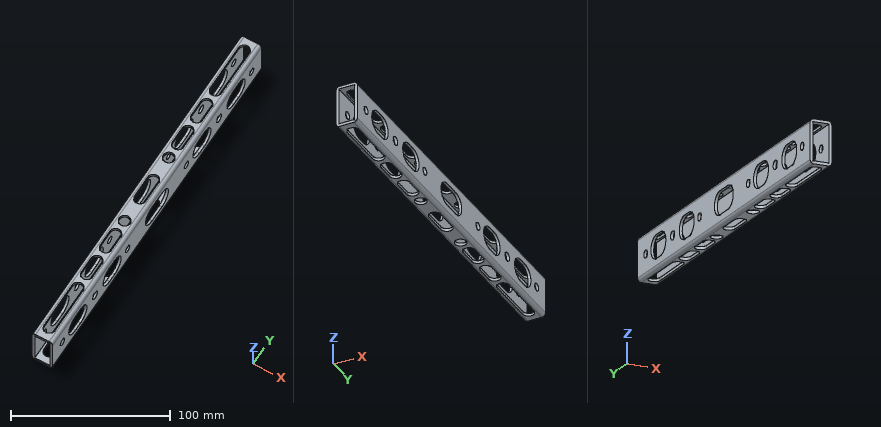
import cadquery as cq

LENGTH = 256.0
WIDTH = 15.0
HEIGHT = 30.0
WALL = 2.0
CORNER_RADIUS = 2.5

TOP_OPENING_WIDTH = 8.0
TOP_CENTRE_SLOT_LENGTH = 24.0
TOP_SHORT_SLOT_LENGTH = 19.7
TOP_LONG_SLOT_LENGTH = 42.5
TOP_HOLE_Y = 27.1
TOP_SHORT_SLOT_YS = (44.3, 67.3)
TOP_LONG_SLOT_Y = 102.0

SIDE_SLOT_HEIGHT = 16.0
SIDE_CENTRE_SLOT_LENGTH = 28.0
SIDE_SLOT_LENGTH = 22.0
SIDE_SLOT_YS = (55.0, 97.0)
SMALL_HOLE_DIAMETER = 5.0
LARGE_HOLE_DIAMETER = 6.0
HOLE_PITCH = 40.0
LARGE_HOLE_Y = 76.0
SMALL_HOLE_YS = (LARGE_HOLE_Y - HOLE_PITCH, LARGE_HOLE_Y + HOLE_PITCH)


def mirrored(positions):
    """Points at each position along Y and at its mirror image."""
    return [(0, side * y) for y in positions for side in (-1, 1)]


def tube():
    """Tube with rounded outer corners and a sharp-cornered bore."""
    outer = cq.Workplane("XY").box(WIDTH, LENGTH, HEIGHT).edges("|Y").fillet(CORNER_RADIUS)
    bore = cq.Workplane("XY").box(WIDTH - 2 * WALL, LENGTH, HEIGHT - 2 * WALL)
    return outer.cut(bore)


def top_cutters():
    """Vertical cutters that pass through the top and bottom walls."""

    def slots(length, points):
        sketch = cq.Workplane("XY").pushPoints(points)
        return sketch.slot2D(length, TOP_OPENING_WIDTH, 90).extrude(HEIGHT, both=True)

    holes = cq.Workplane("XY").pushPoints(mirrored([TOP_HOLE_Y]))
    return [
        slots(TOP_CENTRE_SLOT_LENGTH, [(0, 0)]),
        slots(TOP_SHORT_SLOT_LENGTH, mirrored(TOP_SHORT_SLOT_YS)),
        slots(TOP_LONG_SLOT_LENGTH, mirrored([TOP_LONG_SLOT_Y])),
        holes.circle(TOP_OPENING_WIDTH / 2).extrude(HEIGHT, both=True),
    ]


def side_cutters():
    """Horizontal cutters that pass through both side walls."""
    side_plane = cq.Plane(origin=(0, 0, 0), xDir=(0, 0, -1), normal=(1, 0, 0))

    def slots(length, points):
        sketch = cq.Workplane(side_plane).pushPoints(points)
        return sketch.slot2D(length, SIDE_SLOT_HEIGHT, 90).extrude(WIDTH, both=True)

    def holes(diameter, points):
        sketch = cq.Workplane(side_plane).pushPoints(points)
        return sketch.circle(diameter / 2).extrude(WIDTH, both=True)

    return [
        slots(SIDE_CENTRE_SLOT_LENGTH, [(0, 0)]),
        slots(SIDE_SLOT_LENGTH, mirrored(SIDE_SLOT_YS)),
        holes(SMALL_HOLE_DIAMETER, mirrored(SMALL_HOLE_YS)),
        holes(LARGE_HOLE_DIAMETER, mirrored([LARGE_HOLE_Y])),
    ]


result = tube()
for cutter in top_cutters() + side_cutters():
    result = result.cut(cutter)